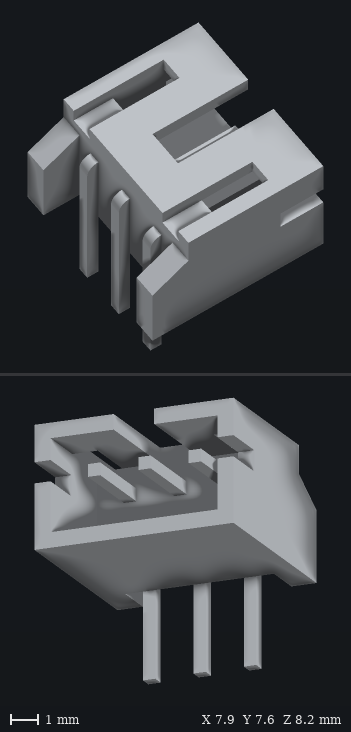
import cadquery as cq


width = 7.9
body_depth = 6.0
body_height = 4.8
side_wall = 0.64
flat_wall = 0.6
cavity_depth = 4.255

foot_width = 1.0
foot_length = 1.6
foot_rear_drop = 1.11
foot_front_drop = 2.01

key_width = 1.61
roof_slot_width = 1.0
roof_slot_margin = 2.0
side_slot_depth = 1.9
side_slot_top_drop = 1.435
side_slot_bottom_drop = 2.25

pin_count = 3
pin_pitch = 2.0
pin_size = 0.49
pin_top_drop = side_slot_top_drop
pin_tip_recess = 0.97
pin_tail_length = 3.4

mouth_y = body_depth
cavity_floor_y = body_depth - cavity_depth


def block(x_range, y_range, z_range):
    """Axis-aligned box between the given pairs of limits."""
    (x0, x1), (y0, y1), (z0, z1) = x_range, y_range, z_range
    return cq.Workplane("XY").box(x1 - x0, y1 - y0, z1 - z0, centered=False).translate((x0, y0, z0))


def make_shell():
    """Housing block hollowed from the mouth."""
    shell = block((-width / 2, width / 2), (0, body_depth), (0, body_height))
    cavity_half_width = width / 2 - side_wall
    cavity = block(
        (-cavity_half_width, cavity_half_width),
        (cavity_floor_y, mouth_y),
        (flat_wall, body_height - flat_wall),
    )
    return shell.cut(cavity)


def make_foot(x_start):
    """Foot with a sloped top, rooted on the front face."""
    return (
        cq.Workplane("YZ", origin=(x_start, 0, 0))
        .moveTo(0, 0)
        .lineTo(-foot_length, 0)
        .lineTo(-foot_length, body_height - foot_front_drop)
        .lineTo(0, body_height - foot_rear_drop)
        .close()
        .extrude(foot_width)
    )


def make_roof_slot(x_start):
    """Slot through the roof that runs on as a groove to the front face."""
    return block(
        (x_start, x_start + roof_slot_width),
        (0, mouth_y - roof_slot_margin),
        (body_height - flat_wall, body_height),
    )


def make_key_notch():
    """Central notch in the roof, open to the mouth."""
    return block(
        (-key_width / 2, key_width / 2),
        (cavity_floor_y, mouth_y),
        (body_height - flat_wall, body_height),
    )


def make_side_slots():
    """Slot through both side walls, open to the mouth."""
    return block(
        (-width / 2, width / 2),
        (mouth_y - side_slot_depth, mouth_y),
        (body_height - side_slot_bottom_drop, body_height - side_slot_top_drop),
    )


def make_pin(x_center):
    """L-shaped pin with a rounded outer bend in front of the housing."""
    top = body_height - pin_top_drop
    tip_y = mouth_y - pin_tip_recess
    return (
        cq.Workplane("YZ", origin=(x_center - pin_size / 2, 0, 0))
        .moveTo(tip_y, top)
        .lineTo(0, top)
        .radiusArc((-pin_size, top - pin_size), -pin_size)
        .lineTo(-pin_size, -pin_tail_length)
        .lineTo(0, -pin_tail_length)
        .lineTo(0, top - pin_size)
        .lineTo(tip_y, top - pin_size)
        .close()
        .extrude(pin_size)
    )


result = make_shell().cut(make_key_notch()).cut(make_side_slots())

slot_outer_x = width / 2 - side_wall
for slot_x in (-slot_outer_x, slot_outer_x - roof_slot_width):
    result = result.cut(make_roof_slot(slot_x))

for foot_x in (-width / 2, width / 2 - foot_width):
    result = result.union(make_foot(foot_x))

for index in range(pin_count):
    pin_x = (index - (pin_count - 1) / 2) * pin_pitch
    result = result.union(make_pin(pin_x))